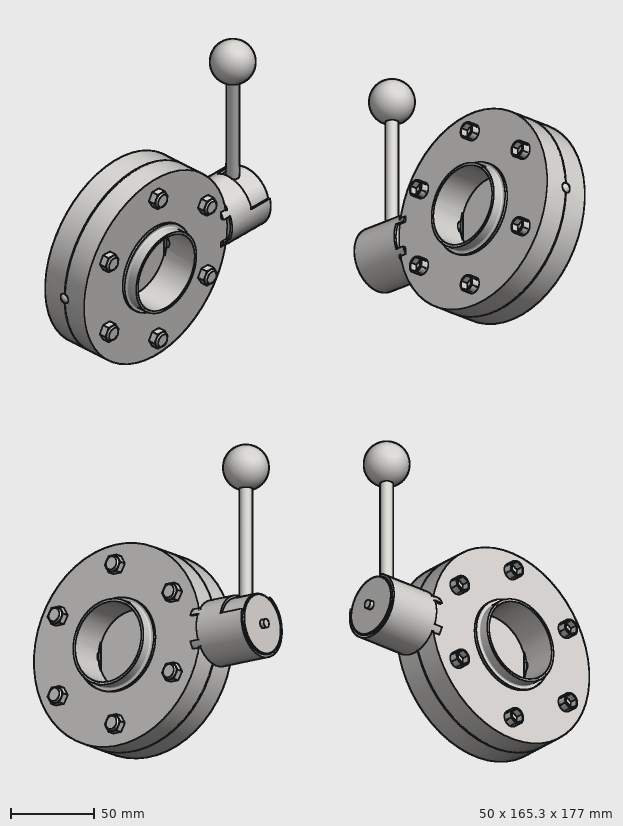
import cadquery as cq
import math


FLANGE_RADIUS = 63.0
FLANGE_HALF_WIDTH = 16.1
PIPE_RADIUS = 26.5
PIPE_END = 25.0
BORE_RADIUS = 25.0
COLLAR_RADIUS = 29.0
COLLAR_WIDTH = 1.8
COLLAR_FILLET = 0.9
PARTING_GROOVE_WIDTH = 0.4
PARTING_GROOVE_DEPTH = 0.9

BOLT_COUNT = 6
BOLT_CIRCLE_RADIUS = 50.0
BOLT_PROTRUSION = 6.0
HEAD_RADIUS = 5.1
HEAD_CHAMFER = 0.4
SOCKET_FLATS = 8.0
SOCKET_DEPTH = 5.0
NUT_FLATS = 10.3
NUT_HEIGHT = 4.6
NUT_TIP_BASE_RADIUS = 5.0
NUT_TIP_RADIUS = 4.0

DISC_THICKNESS = 2.1
BOSS_THICKNESS = 3.9
BOSS_START = 23.4
UPPER_STEM_RADIUS = 4.2
LOWER_STEM_RADIUS = 3.2
STEM_DOME_HEIGHT = 1.8
PIN_RADIUS = 2.7
PIN_END = 100.5

HUB_RADIUS = 20.4
HUB_END = 97.0
HUB_BORE_RADIUS = 18.8
SLOT_START = 80.7
SLOT_FIRST_ANGLE = math.radians(15)
SLOT_LAST_ANGLE = math.radians(114)
LEG_LENGTH = 5.8
LEG_INNER_Z = 8.1
LEG_OUTER_Z = 12.4

CORE_END = 97.7
CORE_CHAMFER = 0.7
ROD_RADIUS = 4.0
ROD_Y = 85.1
BALL_RADIUS = 14.0
BALL_TOP = 177 - FLANGE_RADIUS
BALL_CENTRE = (0, ROD_Y, BALL_TOP - BALL_RADIUS)

CLEARANCE = 1.8


def cylinder_x(radius, start, end):
    return cq.Workplane("YZ").workplane(offset=start).circle(radius).extrude(end - start)


def cylinder_y(radius, start, end):
    return cq.Workplane("XZ").workplane(offset=-end).circle(radius).extrude(end - start)


def hexagon_x(flats, start, end):
    """Hexagonal prism along X with two of its corners at +Y and -Y."""
    corner_diameter = flats / math.cos(math.pi / 6)
    return cq.Workplane("YZ").workplane(offset=start).polygon(6, corner_diameter).extrude(end - start)


def make_housing_half():
    """The +X half of the flanged pipe, revolved about the bore axis."""
    collar_end = FLANGE_HALF_WIDTH + COLLAR_WIDTH
    fillet_end = collar_end + COLLAR_FILLET
    groove_side = PARTING_GROOVE_WIDTH / 2
    groove_floor = FLANGE_RADIUS - PARTING_GROOVE_DEPTH
    fillet_middle = COLLAR_FILLET * (1 - math.sin(math.pi / 4))
    profile = (
        cq.Workplane("XY")
        .moveTo(0, BORE_RADIUS)
        .lineTo(PIPE_END, BORE_RADIUS)
        .lineTo(PIPE_END, PIPE_RADIUS)
        .lineTo(fillet_end, PIPE_RADIUS)
        .threePointArc(
            (collar_end + fillet_middle, PIPE_RADIUS + fillet_middle),
            (collar_end, PIPE_RADIUS + COLLAR_FILLET),
        )
        .lineTo(collar_end, COLLAR_RADIUS)
        .lineTo(FLANGE_HALF_WIDTH, COLLAR_RADIUS)
        .lineTo(FLANGE_HALF_WIDTH, FLANGE_RADIUS)
        .lineTo(groove_side, FLANGE_RADIUS)
        .lineTo(groove_side, groove_floor)
        .lineTo(0, groove_floor)
        .close()
    )
    return profile.revolve(360, (0, 0, 0), (1, 0, 0))


def make_screw_head():
    tip = -FLANGE_HALF_WIDTH - BOLT_PROTRUSION
    head = cylinder_x(HEAD_RADIUS, tip, -FLANGE_HALF_WIDTH).faces("<X").chamfer(HEAD_CHAMFER)
    socket = hexagon_x(SOCKET_FLATS, tip, tip + SOCKET_DEPTH)
    return head.cut(socket.rotate((0, 0, 0), (1, 0, 0), 90))


def make_nut():
    nut_end = FLANGE_HALF_WIDTH + NUT_HEIGHT
    nut = hexagon_x(NUT_FLATS, FLANGE_HALF_WIDTH, nut_end)
    tip = (
        cq.Workplane("YZ")
        .workplane(offset=nut_end)
        .circle(NUT_TIP_BASE_RADIUS)
        .workplane(offset=BOLT_PROTRUSION - NUT_HEIGHT)
        .circle(NUT_TIP_RADIUS)
        .loft()
    )
    return nut.union(tip)


def make_housing():
    half = make_housing_half()
    housing = half.union(half.mirror("YZ"))
    head = make_screw_head()
    nut = make_nut()
    for i in range(BOLT_COUNT):
        angle = 2 * math.pi * i / BOLT_COUNT
        place = (0, BOLT_CIRCLE_RADIUS * math.sin(angle), BOLT_CIRCLE_RADIUS * math.cos(angle))
        housing = housing.union(head.translate(place)).union(nut.translate(place))
    housing = housing.cut(cylinder_y(UPPER_STEM_RADIUS, 0, FLANGE_RADIUS + CLEARANCE))
    return housing.cut(cylinder_y(LOWER_STEM_RADIUS, -FLANGE_RADIUS - CLEARANCE, 0))


def make_stem_dome():
    """Spherical cap on the lower end of the stem."""
    sphere_radius = (LOWER_STEM_RADIUS**2 + STEM_DOME_HEIGHT**2) / (2 * STEM_DOME_HEIGHT)
    tip = -FLANGE_RADIUS - STEM_DOME_HEIGHT
    sphere = cq.Workplane("XY").sphere(sphere_radius).translate((0, tip + sphere_radius, 0))
    return sphere.intersect(cylinder_y(LOWER_STEM_RADIUS, tip - CLEARANCE, -FLANGE_RADIUS))


def make_neck(stem_radius, start, end):
    """Flat tongue, as thick as the end bosses, that joins the disc to a stem."""
    tongue = cq.Workplane("XY").box(BOSS_THICKNESS, end - start, 2 * stem_radius)
    tongue = tongue.translate((0, (start + end) / 2, 0))
    return tongue.intersect(cylinder_y(stem_radius, start, end))


def make_disc():
    """Closed disc, thicker at its two ends, together with its stem."""
    plate = cylinder_x(BORE_RADIUS, -DISC_THICKNESS / 2, DISC_THICKNESS / 2)
    bosses = cylinder_x(BORE_RADIUS, -BOSS_THICKNESS / 2, BOSS_THICKNESS / 2)
    bosses = bosses.cut(cq.Workplane("XY").box(2 * BOSS_THICKNESS, 2 * BOSS_START, 2 * FLANGE_RADIUS))
    disc = plate.union(bosses)
    neck_end = BORE_RADIUS + CLEARANCE
    disc = disc.union(make_neck(UPPER_STEM_RADIUS, BOSS_START, neck_end))
    disc = disc.union(make_neck(LOWER_STEM_RADIUS, -neck_end, -BOSS_START))
    disc = disc.union(cylinder_y(UPPER_STEM_RADIUS, BORE_RADIUS, FLANGE_RADIUS))
    disc = disc.union(cylinder_y(PIN_RADIUS, FLANGE_RADIUS, PIN_END))
    disc = disc.union(cylinder_y(LOWER_STEM_RADIUS, -FLANGE_RADIUS, -BORE_RADIUS))
    return disc.union(make_stem_dome())


def make_hub():
    """Sleeve whose four legs reach over the two flange faces."""
    legs_end = FLANGE_RADIUS - LEG_LENGTH
    hub = cylinder_y(HUB_RADIUS, legs_end, HUB_END).cut(cylinder_y(HUB_BORE_RADIUS, legs_end, HUB_END))
    leg_zone = cq.Workplane("XY").box(4 * HUB_RADIUS, 2 * FLANGE_RADIUS, 2 * LEG_OUTER_Z)
    leg_zone = leg_zone.cut(
        cq.Workplane("XY").box(2 * FLANGE_HALF_WIDTH, 2 * FLANGE_RADIUS, 2 * LEG_OUTER_Z))
    leg_zone = leg_zone.cut(
        cq.Workplane("XY").box(4 * HUB_RADIUS, 2 * FLANGE_RADIUS, 2 * LEG_INNER_Z))
    below_sleeve = cylinder_y(HUB_RADIUS + CLEARANCE, legs_end, FLANGE_RADIUS)
    hub = hub.cut(below_sleeve.cut(leg_zone))

    reach = 2 * HUB_RADIUS
    middle_angle = (SLOT_FIRST_ANGLE + SLOT_LAST_ANGLE) / 2
    corners = [
        (reach * math.cos(angle), reach * math.sin(angle))
        for angle in (SLOT_FIRST_ANGLE, middle_angle, SLOT_LAST_ANGLE)
    ]
    slot = (
        cq.Workplane("XZ")
        .workplane(offset=-HUB_END)
        .polyline([(0, 0)] + corners)
        .close()
        .extrude(HUB_END - SLOT_START)
    )
    return hub.cut(slot)


def make_lever():
    """Core that turns in the hub, with a rod and a ball knob."""
    core = cylinder_y(HUB_BORE_RADIUS, FLANGE_RADIUS, CORE_END).faces(">Y").chamfer(CORE_CHAMFER)
    rod = cq.Workplane("XY").center(0, ROD_Y).circle(ROD_RADIUS).extrude(BALL_CENTRE[2])
    ball = cq.Workplane("XY").sphere(BALL_RADIUS).translate(BALL_CENTRE)
    lever = core.union(rod).union(ball)
    return lever.cut(cylinder_y(PIN_RADIUS, FLANGE_RADIUS, PIN_END))


housing = make_housing()
disc = make_disc()
hub = make_hub()
lever = make_lever()

result = cq.Compound.makeCompound([housing.val(), disc.val(), hub.val(), lever.val()])